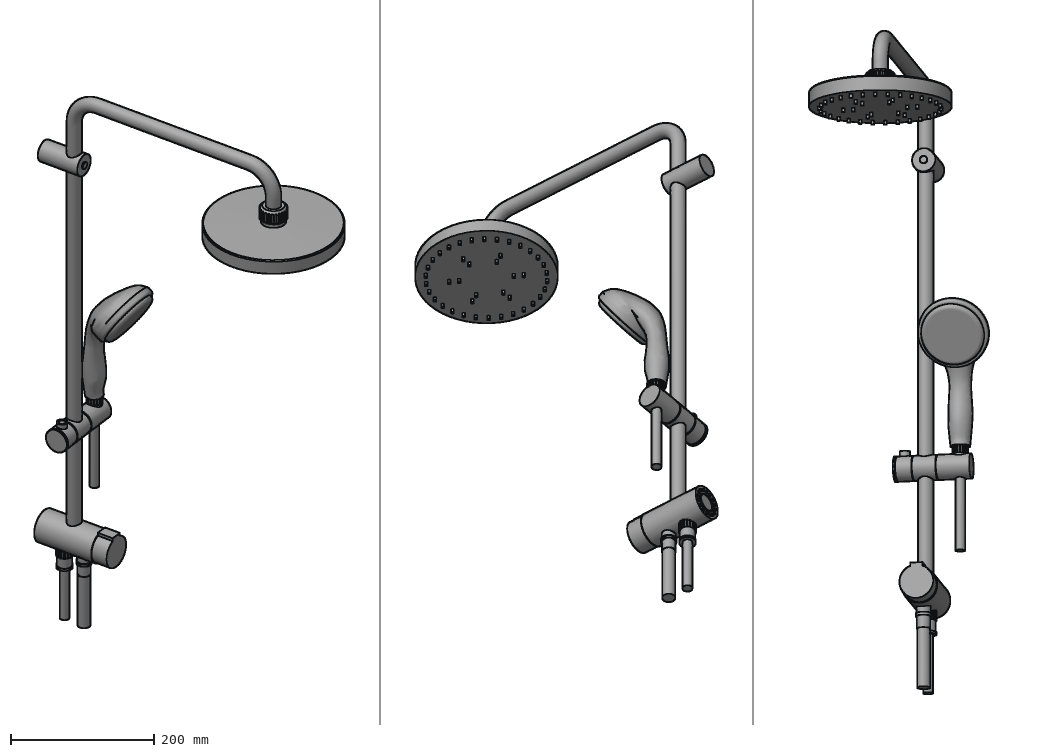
import cadquery as cq
import math


SEAM_WIDTH = 1.0
SEAM_DEPTH = 1.0
GRIP_GROOVE_DIA = 2.8
NUT_GROOVES = 16
HOSE_DIA = 14.0

TOP_Z = 876.0
PIPE_DIA = 22.0
PIPE_RADIUS = PIPE_DIA / 2
BEND_RADIUS = 40.0
ARM_Z = TOP_Z - PIPE_RADIUS
BEND_END_Z = ARM_Z - BEND_RADIUS

HEAD_DIA = 200.0
HEAD_X = 340.0
HEAD_BOTTOM_Z = 758.5
HEAD_RIM_TOP_Z = 780.0
HEAD_CROWN_Z = 783.0
HEAD_EDGE_CHAMFER = 2.0
NECK_DIA = 36.0
COLLAR_DIA = 40.0
COLLAR_BOTTOM_Z = 790.0
COLLAR_TOP_Z = 809.0
COLLAR_CHAMFER = 4.0
COLLAR_GROOVES = 24
NOZZLE_DIA = 4.3
NOZZLE_LENGTH = 5.0
NOZZLE_RINGS = [(38.5, 6), (52.5, 6), (85.0, 30)]

WALL_X = -51.0
VALVE_DIA = 51.0
VALVE_Z = 140.0
KNOB_DIA = 48.0
KNOB_START_X = 46.0
KNOB_END_X = 72.0
KNOB_RIB_WIDTH = 17.5
KNOB_RIB_HEIGHT = 27.0
END_RING_DIA = 27.0
END_DIMPLES = 16
END_DIMPLE_DIA = 4.3
END_DIMPLE_CIRCLE_RADIUS = 19.0
END_DIMPLE_DEPTH = 3.0
OUTLET_OFFSET_X = 17.0
INLET_NUT_DIA = 24.5
INLET_NUT_BOTTOM_Z = 104.0
INLET_SLEEVE_DIA = 22.0
INLET_RING_DIA = 24.0
INLET_RING_TOP_Z = 88.0
INLET_RING_BOTTOM_Z = 84.0
OUTLET_NUT_DIA = 20.0
OUTLET_RING_DIA = 22.0
OUTLET_RING_TOP_Z = 107.0
OUTLET_RING_BOTTOM_Z = 102.5
OUTLET_STUB_DIA = 19.0
OUTLET_STUB_BOTTOM_Z = 85.0
OUTLET_HOSE_DIA = 18.0

BRACKET_DIA = 33.0
BRACKET_Z = 758.5
BRACKET_END_X = 17.0
SCREW_DIA = 10.5
SCREW_RISE = 2.0

SLIDER_DIA = 36.0
SLIDER_Z = 320.0
SLIDER_FRONT_Y = -44.0
SLIDER_BACK_Y = 65.0
SLIDER_SEAMS_Y = [-41.0, -17.5, 17.0]
BUTTON_DIA = 15.0
BUTTON_Y = -30.0
BUTTON_TOP_Z = 344.0
BUTTON_RECESS_DIA = 10.0
BUTTON_RECESS_DEPTH = 1.0

HAND_Y = 49.0
HAND_HOSE_BOTTOM_Z = 199.0
HAND_NUT_DIA = 23.0
HANDLE_BOTTOM_Z = 349.0
FACE_DIA = 100.0
FACE_X = 48.0
FACE_Z = 502.0
FACE_TILT = 122.0
FACE_RIM_THICKNESS = 10.5
FACE_RIM_FILLET = 3.5
SPRAY_PLATE_DIA = 89.0
SPRAY_PLATE_RISE = 7.0
SPRAY_PLATE_FILLET = 6.0
HANDLE_SECTIONS = [
    (0, HANDLE_BOTTOM_Z, 0, 26.0, 28.0),
    (-1.0, 368.0, 0, 31.0, 32.0),
    (-1.0, 403.0, 0, 32.0, 34.0),
    (1.0, 442.0, 10, 27.0, 31.5),
    (10.0, 472.0, 50, 36.0, 47.0),
    (22.0, 492.0, 98, 57.0, 77.0),
    (34.0, 502.0, 116, 84.0, 93.0),
    (FACE_X, FACE_Z, FACE_TILT, FACE_DIA, FACE_DIA),
]


def cylinder(diameter, start, end):
    """Solid cylinder between two points."""
    origin = cq.Vector(*start)
    axis = cq.Vector(*end) - origin
    return cq.Workplane(cq.Solid.makeCylinder(diameter / 2, axis.Length, origin, axis))


def upright(diameter, x, y, bottom_z, top_z):
    """Vertical cylinder."""
    return cylinder(diameter, (x, y, bottom_z), (x, y, top_z))


def grooved_upright(diameter, grooves, x, y, bottom_z, top_z):
    """Vertical cylinder with round grip grooves along its side."""
    cutters = (
        cq.Workplane("XY", origin=(x, y, bottom_z))
        .polarArray(diameter / 2, 0, 360, grooves)
        .circle(GRIP_GROOVE_DIA / 2)
        .extrude(top_z - bottom_z)
    )
    return upright(diameter, x, y, bottom_z, top_z).cut(cutters)


def seam(diameter, start, end):
    """Ring that cuts a fine groove round a cylinder of the given diameter."""
    core = cylinder(diameter - 2 * SEAM_DEPTH, start, end)
    return cylinder(diameter + SEAM_DEPTH, start, end).cut(core)


def riser_bore():
    """Space taken by the riser, from the valve axis up to the first bend."""
    return upright(PIPE_DIA, 0, 0, VALVE_Z, BEND_END_Z)


def pipe():
    path = (
        cq.Workplane("XZ")
        .moveTo(0, VALVE_Z)
        .lineTo(0, BEND_END_Z)
        .radiusArc((BEND_RADIUS, ARM_Z), BEND_RADIUS)
        .lineTo(HEAD_X - BEND_RADIUS, ARM_Z)
        .radiusArc((HEAD_X, BEND_END_Z), BEND_RADIUS)
        .lineTo(HEAD_X, COLLAR_BOTTOM_Z)
    )
    return cq.Workplane("XY", origin=(0, 0, VALVE_Z)).circle(PIPE_RADIUS).sweep(path)


def head():
    rim_radius = HEAD_DIA / 2
    neck_radius = NECK_DIA / 2
    disc = (
        cq.Workplane("XZ", origin=(HEAD_X, 0, 0))
        .moveTo(0, HEAD_BOTTOM_Z)
        .lineTo(rim_radius, HEAD_BOTTOM_Z)
        .lineTo(rim_radius, HEAD_RIM_TOP_Z - HEAD_EDGE_CHAMFER)
        .lineTo(rim_radius - HEAD_EDGE_CHAMFER, HEAD_RIM_TOP_Z)
        .lineTo(neck_radius, HEAD_CROWN_Z)
        .lineTo(neck_radius, COLLAR_BOTTOM_Z)
        .lineTo(0, COLLAR_BOTTOM_Z)
        .close()
        .revolve(360, (0, 0, 0), (0, 1, 0))
    )
    for radius, count in NOZZLE_RINGS:
        nozzles = (
            cq.Workplane("XY", origin=(HEAD_X, 0, HEAD_BOTTOM_Z))
            .polarArray(radius, -90, 360, count)
            .circle(NOZZLE_DIA / 2)
            .extrude(-NOZZLE_LENGTH)
        )
        disc = disc.union(nozzles)
    return disc


def collar():
    chamfered = upright(COLLAR_DIA, HEAD_X, 0, COLLAR_BOTTOM_Z, COLLAR_TOP_Z)
    chamfered = chamfered.faces(">Z").chamfer(COLLAR_CHAMFER)
    grooved = grooved_upright(COLLAR_DIA, COLLAR_GROOVES, HEAD_X, 0, COLLAR_BOTTOM_Z, COLLAR_TOP_Z)
    return grooved.intersect(chamfered)


def overhead_shower():
    return pipe().union(head()).union(collar())


def valve_end_relief():
    """Ring groove and dimples in the wall-side end of the valve."""
    ring = seam(END_RING_DIA, (WALL_X, 0, VALVE_Z), (WALL_X + SEAM_DEPTH, 0, VALVE_Z))
    dimples = (
        cq.Workplane("YZ", origin=(WALL_X, 0, VALVE_Z))
        .polarArray(END_DIMPLE_CIRCLE_RADIUS, 0, 360, END_DIMPLES)
        .circle(END_DIMPLE_DIA / 2)
        .extrude(END_DIMPLE_DEPTH)
    )
    return dimples.union(ring)


def valve_knob():
    length = KNOB_END_X - KNOB_START_X
    knob = cylinder(KNOB_DIA, (KNOB_START_X, 0, VALVE_Z), (KNOB_END_X, 0, VALVE_Z))
    rib = cq.Workplane("XY", origin=(KNOB_START_X, 0, VALVE_Z)).box(
        length, KNOB_RIB_WIDTH, KNOB_RIB_HEIGHT, centered=(False, True, False)
    )
    return knob.union(rib)


def valve_inlet():
    x = -OUTLET_OFFSET_X
    nut = grooved_upright(INLET_NUT_DIA, NUT_GROOVES, x, 0, INLET_NUT_BOTTOM_Z, VALVE_Z)
    sleeve = upright(INLET_SLEEVE_DIA, x, 0, INLET_RING_TOP_Z, INLET_NUT_BOTTOM_Z)
    ring = upright(INLET_RING_DIA, x, 0, INLET_RING_BOTTOM_Z, INLET_RING_TOP_Z)
    hose = upright(HOSE_DIA, x, 0, 0, INLET_RING_BOTTOM_Z)
    return nut.union(sleeve).union(ring).union(hose)


def valve_outlet():
    x = OUTLET_OFFSET_X
    nut = upright(OUTLET_NUT_DIA, x, 0, OUTLET_RING_TOP_Z, VALVE_Z)
    ring = upright(OUTLET_RING_DIA, x, 0, OUTLET_RING_BOTTOM_Z, OUTLET_RING_TOP_Z)
    stub = upright(OUTLET_STUB_DIA, x, 0, OUTLET_STUB_BOTTOM_Z, OUTLET_RING_BOTTOM_Z)
    hose = upright(OUTLET_HOSE_DIA, x, 0, 0, OUTLET_STUB_BOTTOM_Z)
    return nut.union(ring).union(stub).union(hose)


def valve():
    body = cylinder(VALVE_DIA, (WALL_X, 0, VALVE_Z), (KNOB_START_X, 0, VALVE_Z))
    body = body.union(valve_inlet()).union(valve_outlet()).union(valve_knob())
    return body.cut(valve_end_relief()).cut(riser_bore())


def bracket():
    screw_end_x = BRACKET_END_X + SCREW_RISE
    bar = cylinder(BRACKET_DIA, (WALL_X, 0, BRACKET_Z), (BRACKET_END_X, 0, BRACKET_Z))
    screw = cylinder(SCREW_DIA, (BRACKET_END_X, 0, BRACKET_Z), (screw_end_x, 0, BRACKET_Z))
    return bar.union(screw).cut(riser_bore())


def slider():
    body = cylinder(SLIDER_DIA, (0, SLIDER_FRONT_Y, SLIDER_Z), (0, SLIDER_BACK_Y, SLIDER_Z))
    for y in SLIDER_SEAMS_Y:
        body = body.cut(seam(SLIDER_DIA, (0, y, SLIDER_Z), (0, y + SEAM_WIDTH, SLIDER_Z)))
    button = upright(BUTTON_DIA, 0, BUTTON_Y, SLIDER_Z, BUTTON_TOP_Z)
    recess = upright(BUTTON_RECESS_DIA, 0, BUTTON_Y, BUTTON_TOP_Z - BUTTON_RECESS_DEPTH, BUTTON_TOP_Z)
    nut_seat = upright(HAND_NUT_DIA, 0, HAND_Y, SLIDER_Z, HANDLE_BOTTOM_Z)
    hose_bore = upright(HOSE_DIA, 0, HAND_Y, HAND_HOSE_BOTTOM_Z, SLIDER_Z)
    return body.union(button).cut(recess).cut(nut_seat).cut(hose_bore).cut(riser_bore())


def tilted_plane(x, z, tilt):
    """Plane on the hand shower's mid-plane, its normal leaning from +Z towards +X."""
    angle = math.radians(tilt)
    return cq.Plane((x, HAND_Y, z), (0, 1, 0), (math.sin(angle), 0, math.cos(angle)))


def handle():
    wires = []
    for x, z, tilt, thickness, width in HANDLE_SECTIONS:
        section = cq.Workplane(tilted_plane(x, z, tilt)).ellipse(width / 2, thickness / 2)
        wires.append(section.wires().val())
    return cq.Workplane(cq.Solid.makeLoft(wires))


def spray_face():
    base = tilted_plane(FACE_X, FACE_Z, FACE_TILT)
    rim = cq.Workplane(base).circle(FACE_DIA / 2).extrude(FACE_RIM_THICKNESS)
    rim = rim.faces(">X").edges().fillet(FACE_RIM_FILLET)
    plate = cq.Workplane(base).circle(SPRAY_PLATE_DIA / 2).extrude(FACE_RIM_THICKNESS + SPRAY_PLATE_RISE)
    plate = plate.faces(">X").edges().fillet(SPRAY_PLATE_FILLET)
    return rim.union(plate)


def hand_shower():
    slider_top_z = SLIDER_Z + SLIDER_DIA / 2
    hose = upright(HOSE_DIA, 0, HAND_Y, HAND_HOSE_BOTTOM_Z, SLIDER_Z)
    seat = upright(HAND_NUT_DIA, 0, HAND_Y, SLIDER_Z, slider_top_z)
    nut = grooved_upright(HAND_NUT_DIA, NUT_GROOVES, 0, HAND_Y, slider_top_z, HANDLE_BOTTOM_Z)
    return handle().union(spray_face()).union(nut).union(seat).union(hose)


result = cq.Compound.makeCompound([
    overhead_shower().val(),
    valve().val(),
    bracket().val(),
    slider().val(),
    hand_shower().val(),
])